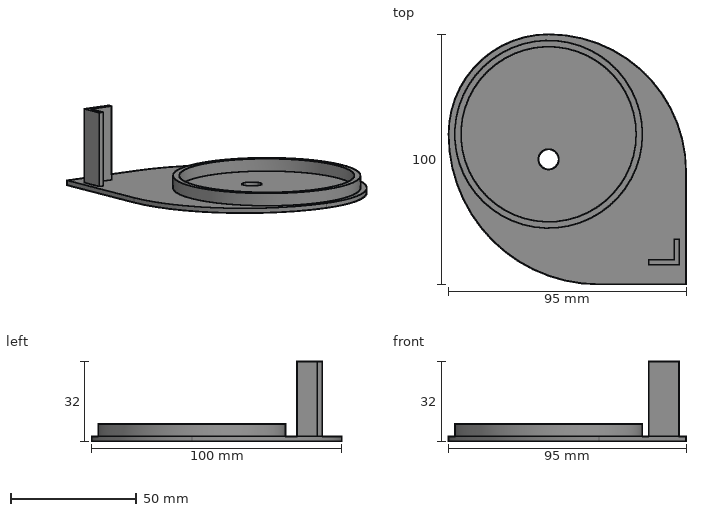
import cadquery as cq
import math

plate_thickness = 2.0
back_radius = 40.0
right_radius = 55.0
front_radius = 60.0

plate_left = -back_radius
plate_right = right_radius
plate_back = back_radius
plate_front = -front_radius
right_arc_center_y = plate_back - right_radius
front_arc_center_x = plate_left + front_radius

rim_outer_diameter = 75.0
rim_inner_diameter = 70.0
rim_height = 5.0

hole_diameter = 8.0
hole_y = -10.0

post_length_x = 12.2
post_length_y = 10.2
post_wall = 2.0
post_height = 30.0
post_right_margin = 2.8
post_front_margin = 7.8
post_right = plate_right - post_right_margin
post_front = plate_front + post_front_margin


def arc_point(center_x, center_y, radius, angle_degrees):
    angle = math.radians(angle_degrees)
    return (center_x + radius * math.cos(angle), center_y + radius * math.sin(angle))


def make_plate():
    return (
        cq.Workplane("XY")
        .moveTo(plate_left, 0)
        .threePointArc(arc_point(0, 0, back_radius, 135), (0, plate_back))
        .threePointArc(
            arc_point(0, right_arc_center_y, right_radius, 45),
            (plate_right, right_arc_center_y),
        )
        .lineTo(plate_right, plate_front)
        .lineTo(front_arc_center_x, plate_front)
        .threePointArc(
            arc_point(front_arc_center_x, 0, front_radius, 225),
            (plate_left, 0),
        )
        .close()
        .extrude(plate_thickness)
    )


def make_rim():
    return (
        cq.Workplane("XY")
        .workplane(offset=plate_thickness)
        .circle(rim_outer_diameter / 2)
        .circle(rim_inner_diameter / 2)
        .extrude(rim_height)
    )


def make_post():
    post_left = post_right - post_length_x
    post_back = post_front + post_length_y
    return (
        cq.Workplane("XY")
        .workplane(offset=plate_thickness)
        .moveTo(post_left, post_front)
        .lineTo(post_right, post_front)
        .lineTo(post_right, post_back)
        .lineTo(post_right - post_wall, post_back)
        .lineTo(post_right - post_wall, post_front + post_wall)
        .lineTo(post_left, post_front + post_wall)
        .close()
        .extrude(post_height)
    )


def make_hole():
    return (
        cq.Workplane("XY")
        .center(0, hole_y)
        .circle(hole_diameter / 2)
        .extrude(plate_thickness)
    )


result = make_plate().union(make_rim()).union(make_post()).cut(make_hole())